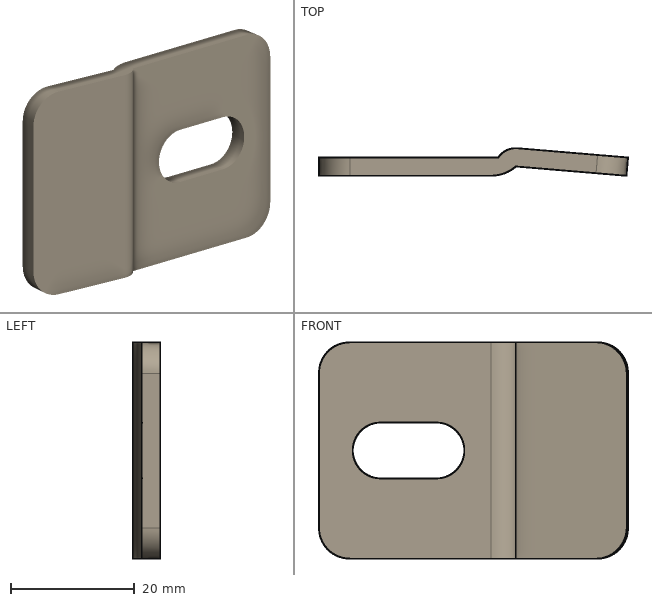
import cadquery as cq
import math

length = 50.0
height = 35.0
thickness = 3.0
corner_radius = 5.0

front_bend_start = 27.8
front_bend_end = 31.85
back_bend_start = 29.0
tilt = math.radians(4.8)

slot_length = 18.0
slot_width = 9.0
slot_center_x = 14.5


def tilted_leaf_points():
    """Return the front root, front tip, back tip and back root of the tilted leaf."""
    normal_x = thickness * math.sin(tilt)
    normal_y = thickness * math.cos(tilt)
    tip_x = length - normal_x
    root_y = (tip_x - front_bend_end) * math.tan(tilt)
    front_root = (front_bend_end, root_y)
    front_tip = (tip_x, 0)
    back_tip = (length, normal_y)
    back_root = (front_bend_end + normal_x, root_y + normal_y)
    return front_root, front_tip, back_tip, back_root


def bent_plate():
    """Extrude the joggled sheet profile along Z; both bend arcs are tangent to a leaf."""
    front_root, front_tip, back_tip, back_root = tilted_leaf_points()
    return (
        cq.Workplane("XY")
        .lineTo(front_bend_start, 0)
        .tangentArcPoint(front_root, relative=False)
        .lineTo(*front_tip)
        .lineTo(*back_tip)
        .lineTo(*back_root)
        .tangentArcPoint((back_bend_start, thickness), relative=False)
        .lineTo(0, thickness)
        .close()
        .extrude(height)
    )


def slot_cutter():
    return (
        cq.Workplane("XZ", origin=(slot_center_x, thickness, height / 2))
        .slot2D(slot_length, slot_width)
        .extrude(thickness)
    )


plate = bent_plate()
plate = plate.faces("<X").edges("|Y").fillet(corner_radius)
tip_direction = cq.Vector(math.cos(tilt), -math.sin(tilt), 0)
tip_face = plate.faces(cq.selectors.DirectionMinMaxSelector(tip_direction))
plate = tip_face.edges("not |Z").fillet(corner_radius)

result = plate.cut(slot_cutter())